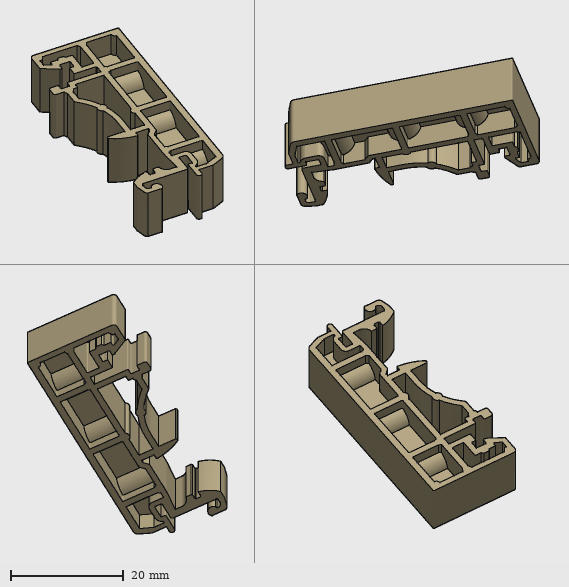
import cadquery as cq
import math


length = 43.9
depth = 18.85
height = 9.9

wall = 1.05
left_wall = 1.1
back_wall = 1.3
rib = 1.25
beam = 1.2
small_round = 0.18

back_y = depth
cell_back_y = back_y - back_wall
cell_front_y = 11.6
beam_y = cell_front_y - beam
beam_step = 0.88
low_cell_front_y = cell_front_y - beam_step
low_beam_y = low_cell_front_y - wall
beam_lift = 0.15
raised_beam_y = beam_y + beam_lift
clip_base_y = 1.2

low_beam_start_x = 29.05
low_beam_rise_x = 35.7
low_beam_rise = 0.4
low_beam_end_y = low_beam_y + low_beam_rise

corner_run = 0.25
corner_rise = 0.53
slant_run = 0.65
slant_rise = 0.35
first_rib_x = 8.82
second_rib_x = 21.3
third_rib_x = 33.8
second_cell_x = first_rib_x + rib
third_cell_x = second_rib_x + rib
fourth_cell_x = third_rib_x + rib
step_start_x = 28.7
step_end_x = step_start_x + beam_step
end_bend_x = 40.2
inner_end_x = 41.2
inner_bend_y = 15.15
corner_post_radius = 0.7

end_x = 42.1
end_bend_y = 16.0
end_corner_x = 40.85
end_round = 0.9
end_kink = (41.8, 16.75)
tab_y = 12.1
tab_thickness = 1.05
tab_back_y = tab_y + tab_thickness
tab_round = 0.5
tab_tip_x = 43.7
slot_left_x = 37.4
slot_step_x = 39.85
slot_roof_y = 13.05

arch_wall = 1.0
arch_x = slot_left_x - arch_wall
arch_y = slot_roof_y + wall
arch_left_radius = 1.1
arch_crown_x = 39.6
arch_end_x = 40.83
arch_end_middle = (40.4, 13.75)

web_thickness = 1.05
bar_radius = 3.0
bar_count = 3
first_bar_x = 9.53
bar_pitch = 12.42

clip_corner_round = 0.7
clip_base_end_x = 3.85
clip_inner_x = 3.1
clip_bulge = 0.4
bulge_top_y = 6.4
bulge_bottom_y = 5.4
bulge_slope = 0.35
clip_post_x = 6.9
clip_post_right_x = clip_post_x + wall
clip_roof_y = 8.05
clip_lip_x = 6.1
clip_lip_y = 5.93
clip_notch_x = 4.5
clip_notch_roof_y = 6.85
clip_notch_floor_y = 4.75
clip_barb_x = 5.6
clip_barb_bottom_y = 4.3
pocket_top_y = 3.7
pocket_right_x = 4.0
pocket_floor_x = 3.2
pocket_floor_y = 2.25
pocket_ledge_x = 1.9
pocket_ledge_y = 2.68
pocket_slant_y = 3.15

leg_left_x = 9.55
leg_width = 1.15
leg_right_x = leg_left_x + leg_width
foot_width = 2.1
foot_right_x = leg_left_x + foot_width
foot_top_y = clip_notch_floor_y
foot_round = 0.45
neck_x = 10.65
neck_top_y = 3.65
neck_bottom_y = 1.95

arm_thickness = 1.15
arm_root_y = 2.33
arm_root_top_y = arm_root_y + arm_thickness
arm_rise_angle = math.radians(45)
arm_arc_x = 23.55
arm_arc_radius = 10.8
arm_end_y = 6.45
arm_arc_y = arm_end_y - arm_arc_radius
bead_radius = 0.9
root_bead_center = (11.6, arm_root_y + arm_thickness / 2)
arm_bead_center = (18.65, 5.93)
beam_bead_center = (22.0, 10.9)

wedge_x = 26.45
wedge_neck_width = 1.25
wedge_neck_x = wedge_x + wedge_neck_width
wedge_tip_y = 2.9
wedge_tip_width = 0.53
wedge_flank_middle = (28.0, 5.1)
wedge_barb_x = 28.65
wedge_barb_y = 7.85

hook_outer_x = 41.05
hook_corner_round = 0.4
hook_inner_x = 39.6
hook_inner_bend_y = 8.95
hook_shoulder = (39.35, 7.9)
hook_shoulder_end = (38.4, 7.25)
hook_face_x = 38.15
hook_face_top_y = 7.15
hook_notch_x = 39.35
hook_notch_top_y = clip_lip_y
hook_notch_bottom_y = clip_notch_floor_y
hook_flank_top = (38.25, 4.55)
hook_flank_middle = (39.0, 2.6)
hook_base_x = 40.0
hook_base_end_x = 41.5

curl_outer_x = 43.8
curl_inner_x = 42.75
curl_round_start = (43.05, 1.6)
curl_round_middle = (43.55, 1.8)
curl_side_y = 2.15
curl_floor_y = 2.35
curl_floor_end_x = 41.9
curl_floor_middle = (42.6, 2.6)
curl_inner_y = 3.0
curl_throat_y = 3.35
curl_head_start = (42.35, 3.5)
curl_head_middle = (42.3, 4.9)
curl_tip_y = 4.9
curl_head_end_y = 4.87


def rounded_outline(corners):
    """Closed outline through (x, y) or (x, y, radius) corners, the latter rounded with an arc."""
    count = len(corners)
    stretches = []
    for i, corner in enumerate(corners):
        here = cq.Vector(corner[0], corner[1])
        radius = corner[2] if len(corner) == 3 else 0
        if radius == 0:
            stretches.append([here])
            continue
        before = corners[i - 1]
        after = corners[(i + 1) % count]
        to_before = (cq.Vector(before[0], before[1]) - here).normalized()
        to_after = (cq.Vector(after[0], after[1]) - here).normalized()
        half_angle = to_before.getAngle(to_after) / 2
        setback = radius / math.tan(half_angle)
        reach = radius / math.sin(half_angle) - radius
        middle = here + (to_before + to_after).normalized() * reach
        stretches.append([here + to_before * setback, middle, here + to_after * setback])

    outline = cq.Workplane("XY").moveTo(stretches[0][0].x, stretches[0][0].y)
    for stretch in stretches:
        if (stretch[0] - stretches[0][0]).Length > 0:
            outline = outline.lineTo(stretch[0].x, stretch[0].y)
        if len(stretch) == 3:
            outline = outline.threePointArc(stretch[1].toTuple()[:2], stretch[2].toTuple()[:2])
    return outline.close()


def prism(corners):
    return rounded_outline(corners).extrude(height)


def bead(center):
    return cq.Workplane("XY").center(*center).circle(bead_radius).extrude(height)


def make_body():
    return prism([
        (0, back_y, small_round),
        (end_corner_x, back_y, end_round),
        end_kink,
        (end_x, end_bend_y),
        (end_x, tab_back_y),
        (tab_tip_x, tab_back_y, tab_round),
        (tab_tip_x, tab_y, tab_round),
        (slot_step_x, tab_y, small_round),
        (slot_step_x, slot_roof_y),
        (slot_left_x, slot_roof_y, small_round),
        (slot_left_x, cell_front_y, small_round),
        (hook_outer_x, cell_front_y, hook_corner_round),
        (hook_outer_x, low_beam_end_y),
        (hook_inner_x, low_beam_end_y),
        (low_beam_rise_x, low_beam_y),
        (low_beam_start_x, low_beam_y),
        (low_beam_start_x - beam_step, raised_beam_y),
        (wedge_neck_x, raised_beam_y),
        (wedge_neck_x, beam_y),
        (0, beam_y),
    ])


def make_cells():
    """Open cells of the body, pocketed from both faces down to the web and bars."""
    first = rounded_outline([
        (left_wall, cell_back_y),
        (first_rib_x, cell_back_y, small_round),
        (first_rib_x, cell_front_y + corner_rise),
        (first_rib_x - corner_run, cell_front_y),
        (left_wall + slant_run, cell_front_y),
        (left_wall, cell_front_y + slant_rise),
    ])
    second = rounded_outline([
        (second_cell_x, cell_back_y, small_round),
        (second_rib_x, cell_back_y, small_round),
        (second_rib_x, cell_front_y, small_round),
        (second_cell_x + corner_run, cell_front_y),
        (second_cell_x, cell_front_y + corner_rise),
    ])
    third = rounded_outline([
        (third_cell_x, cell_back_y, small_round),
        (third_rib_x, cell_back_y, small_round),
        (third_rib_x, low_cell_front_y + corner_rise),
        (third_rib_x - corner_run, low_cell_front_y),
        (step_end_x, low_cell_front_y),
        (step_start_x, cell_front_y),
        (third_cell_x, cell_front_y, small_round),
    ])
    arch_setback = arch_left_radius * (1 - math.sqrt(0.5))
    arch_left_middle = (arch_x + arch_setback, arch_y - arch_setback)
    fourth = (
        cq.Workplane("XY")
        .moveTo(fourth_cell_x, cell_back_y)
        .lineTo(end_bend_x, cell_back_y)
        .lineTo(inner_end_x, inner_bend_y)
        .lineTo(inner_end_x, tab_back_y)
        .lineTo(arch_end_x, tab_back_y)
        .threePointArc(arch_end_middle, (arch_crown_x, arch_y))
        .lineTo(arch_x + arch_left_radius, arch_y)
        .threePointArc(arch_left_middle, (arch_x, arch_y - arch_left_radius))
        .lineTo(arch_x, low_cell_front_y)
        .lineTo(fourth_cell_x + corner_run, low_cell_front_y)
        .lineTo(fourth_cell_x, low_cell_front_y + corner_rise)
        .close()
    )
    post = cq.Workplane("XY").center(left_wall, cell_back_y).circle(corner_post_radius).extrude(height)
    cells = cq.Workplane("XY")
    for outline in (first, second, third, fourth):
        cells = cells.add(outline.extrude(height))
    cells = cells.combine().cut(post)
    return cells.cut(make_web_and_bars())


def make_web_and_bars():
    """Mid-height web with the cross bars, both symmetric about half the height."""
    web = (
        cq.Workplane("XY", origin=(0, 0, (height - web_thickness) / 2))
        .rect(length, depth, centered=False)
        .extrude(web_thickness)
    )
    for i in range(bar_count):
        bar_x = first_bar_x + i * bar_pitch
        bar = cq.Workplane("XZ").center(bar_x, height / 2).circle(bar_radius).extrude(-depth)
        web = web.union(bar)
    return web


def make_left_clip():
    clip = prism([
        (0, beam_y),
        (0, clip_base_y, clip_corner_round),
        (clip_base_end_x, clip_base_y),
        (clip_barb_x, clip_barb_bottom_y),
        (clip_barb_x, clip_notch_floor_y, small_round),
        (clip_notch_x, clip_notch_floor_y, small_round),
        (clip_notch_x, clip_notch_roof_y),
        (clip_lip_x, clip_notch_roof_y, small_round),
        (clip_lip_x, clip_lip_y),
        (clip_post_right_x, clip_lip_y),
        (clip_post_right_x, beam_y - small_round),
        (clip_post_right_x + small_round, beam_y),
    ])
    window = prism([
        (left_wall, beam_y - slant_rise),
        (left_wall + slant_run, beam_y),
        (clip_post_x, beam_y, small_round),
        (clip_post_x, clip_roof_y),
        (clip_inner_x, clip_roof_y, small_round),
        (clip_inner_x, bulge_top_y + bulge_slope),
        (clip_inner_x - clip_bulge, bulge_top_y),
        (clip_inner_x - clip_bulge, bulge_bottom_y),
        (clip_inner_x, bulge_bottom_y - bulge_slope),
        (clip_inner_x, pocket_top_y),
        (pocket_right_x, pocket_top_y, small_round),
        (pocket_floor_x, pocket_floor_y),
        (pocket_ledge_x, pocket_floor_y),
        (pocket_ledge_x, pocket_ledge_y),
        (left_wall, pocket_slant_y),
    ])
    return clip.cut(window)


def make_leg():
    """Leg with a necked foot."""
    return prism([
        (leg_left_x, beam_y),
        (leg_left_x, neck_top_y, small_round),
        (neck_x, neck_top_y, small_round),
        (neck_x, neck_bottom_y, small_round),
        (leg_left_x, neck_bottom_y, small_round),
        (leg_left_x, 0, foot_round),
        (foot_right_x, 0, foot_round),
        (foot_right_x, foot_top_y, small_round),
        (leg_right_x, foot_top_y),
        (leg_right_x, beam_y),
    ])


def arm_arc_point(radius, angle):
    """Point on an arm arc, the angle measured from the arc's level right end."""
    return (arm_arc_x - radius * math.sin(angle), arm_arc_y + radius * math.cos(angle))


def arm_bend_x(radius, root_y):
    """Where the rise that runs tangent into the arc leaves the level root."""
    start_x, start_y = arm_arc_point(radius, arm_rise_angle)
    return start_x - (start_y - root_y) / math.tan(arm_rise_angle)


def make_spring_arm():
    inner = arm_arc_radius
    outer = arm_arc_radius + arm_thickness
    half_rise = arm_rise_angle / 2
    arm = (
        cq.Workplane("XY")
        .moveTo(foot_right_x, arm_root_top_y)
        .lineTo(arm_bend_x(outer, arm_root_top_y), arm_root_top_y)
        .lineTo(*arm_arc_point(outer, arm_rise_angle))
        .threePointArc(arm_arc_point(outer, half_rise), arm_arc_point(outer, 0))
        .lineTo(wedge_x, arm_end_y + arm_thickness)
        .lineTo(wedge_x, arm_end_y)
        .lineTo(*arm_arc_point(inner, 0))
        .threePointArc(arm_arc_point(inner, half_rise), arm_arc_point(inner, arm_rise_angle))
        .lineTo(arm_bend_x(inner, arm_root_y), arm_root_y)
        .lineTo(foot_right_x, arm_root_y)
        .close()
        .extrude(height)
    )
    return arm.union(bead(root_bead_center)).union(bead(arm_bead_center))


def make_wedge():
    barb_bottom = (wedge_barb_x - small_round / 2, wedge_barb_y - small_round)
    return (
        cq.Workplane("XY")
        .moveTo(wedge_x, raised_beam_y)
        .lineTo(wedge_x, wedge_tip_y + small_round)
        .lineTo(wedge_x + small_round, wedge_tip_y)
        .lineTo(wedge_x + wedge_tip_width, wedge_tip_y)
        .threePointArc(wedge_flank_middle, barb_bottom)
        .lineTo(wedge_barb_x, wedge_barb_y)
        .lineTo(wedge_barb_x - small_round, clip_roof_y)
        .lineTo(wedge_neck_x, clip_roof_y)
        .lineTo(wedge_neck_x, raised_beam_y)
        .close()
        .extrude(height)
    )


def make_right_hook():
    return (
        cq.Workplane("XY")
        .moveTo(hook_outer_x, low_beam_end_y)
        .lineTo(hook_outer_x, curl_floor_y + small_round)
        .lineTo(hook_outer_x + small_round, curl_floor_y)
        .lineTo(curl_floor_end_x, curl_floor_y)
        .threePointArc(curl_floor_middle, (curl_inner_x, curl_inner_y))
        .lineTo(curl_inner_x, curl_throat_y)
        .lineTo(*curl_head_start)
        .threePointArc(curl_head_middle, (length, curl_tip_y))
        .lineTo(curl_outer_x, curl_head_end_y)
        .lineTo(curl_outer_x, curl_side_y)
        .threePointArc(curl_round_middle, curl_round_start)
        .lineTo(hook_base_end_x, clip_base_y)
        .lineTo(hook_base_x, clip_base_y)
        .threePointArc(hook_flank_middle, hook_flank_top)
        .lineTo(hook_flank_top[0], hook_notch_bottom_y)
        .lineTo(hook_notch_x - small_round, hook_notch_bottom_y)
        .lineTo(hook_notch_x, hook_notch_bottom_y + small_round)
        .lineTo(hook_notch_x, hook_notch_top_y - small_round)
        .lineTo(hook_notch_x - small_round, hook_notch_top_y)
        .lineTo(hook_face_x + small_round, hook_notch_top_y)
        .lineTo(hook_face_x, hook_notch_top_y + small_round)
        .lineTo(hook_face_x, hook_face_top_y)
        .lineTo(*hook_shoulder_end)
        .threePointArc(hook_shoulder, (hook_inner_x, hook_inner_bend_y))
        .lineTo(hook_inner_x, low_beam_end_y)
        .close()
        .extrude(height)
    )


result = (
    make_body()
    .cut(make_cells())
    .union(bead(beam_bead_center))
    .union(make_left_clip())
    .union(make_leg())
    .union(make_spring_arm())
    .union(make_wedge())
    .union(make_right_hook())
)